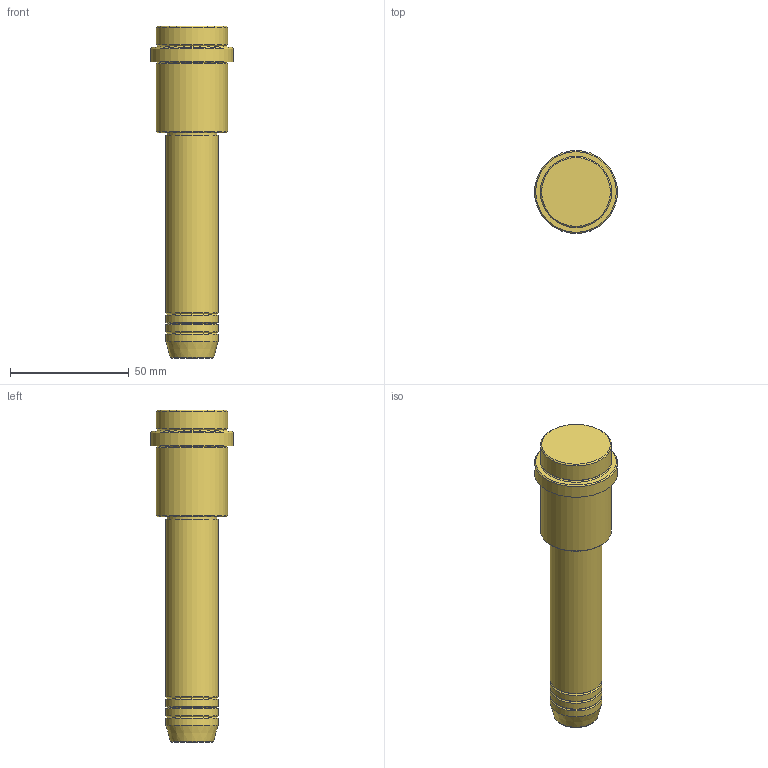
import cadquery as cq
import math

total_length = 140.0
edge_chamfer = 0.5

body_radius = 15.0
body_bottom = total_length - 45.0

flange_radius = 17.5
flange_top = total_length - 9.0
flange_bottom = total_length - 15.0

shaft_radius = 11.0
relief_radius = 10.5
relief_length = 1.0
shaft_top = body_bottom - relief_length

groove_width = 1.0
groove_depth = 0.5
groove_count = 3
groove_pitch = 4.0
lowest_groove_center = 10.5

lead_length = 7.0
lead_angle = 15.0
lead_tip_radius = shaft_radius - lead_length * math.tan(math.radians(lead_angle))
tip_fillet = 0.5


def cylinder(radius, bottom, top):
    """Solid cylinder on the Z axis between two heights."""
    return cq.Workplane("XY").workplane(offset=bottom).circle(radius).extrude(top - bottom)


def groove_cutter(surface_radius, center_height):
    """Ring of triangular section that cuts a V groove into a cylinder's surface."""
    half_width = groove_width / 2
    section = [
        (surface_radius - groove_depth, center_height),
        (surface_radius, center_height - half_width),
        (surface_radius, center_height + half_width),
    ]
    return cq.Workplane("XZ").polyline(section).close().revolve(360, (0, 0), (0, 1))


def make_lead():
    """Tapered lead-in with a rounded tip edge."""
    profile = [(0, 0), (lead_tip_radius, 0), (shaft_radius, lead_length), (0, lead_length)]
    lead = cq.Workplane("XZ").polyline(profile).close().revolve(360, (0, 0), (0, 1))
    return lead.faces("<Z").edges().fillet(tip_fillet)


def make_shaft():
    """Straight shaft with its lead-in, oil grooves and the relief below the body."""
    shaft = make_lead().union(cylinder(shaft_radius, lead_length, shaft_top))
    for index in range(groove_count):
        shaft = shaft.cut(groove_cutter(shaft_radius, lowest_groove_center + index * groove_pitch))
    return shaft.union(cylinder(relief_radius, shaft_top, body_bottom))


def make_head():
    """Locating body and head with an undercut on each side of the flange."""
    body = cylinder(body_radius, body_bottom, total_length).edges().chamfer(edge_chamfer)
    body = body.cut(groove_cutter(body_radius, flange_bottom - groove_width / 2))
    body = body.cut(groove_cutter(body_radius, flange_top + groove_width / 2))
    flange = cylinder(flange_radius, flange_bottom, flange_top)
    return body.union(flange.faces(">Z").edges().chamfer(edge_chamfer))


result = make_shaft().union(make_head())